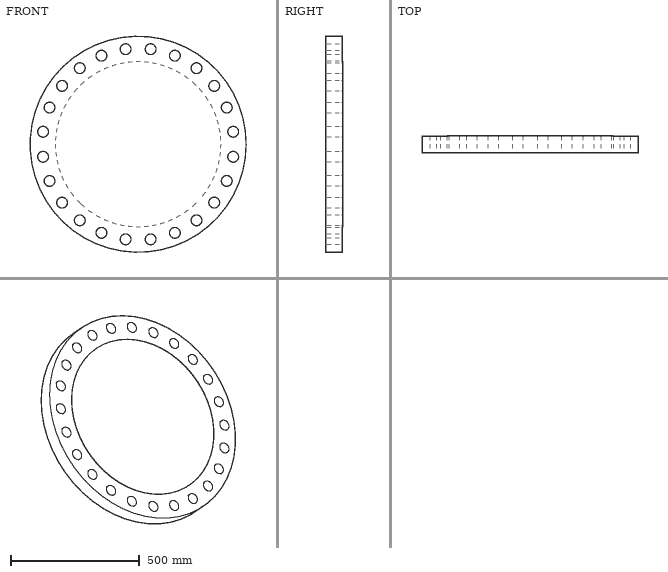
import cadquery as cq

flange_diameter = 838.0
total_thickness = 67.0
raised_face_diameter = 641.0
raised_face_height = 2.0
bolt_circle_diameter = 743.5
bolt_hole_diameter = 41.0
bolt_count = 24

plate_thickness = total_thickness - raised_face_height
bolt_pitch_angle = 360.0 / bolt_count


def disc(diameter, start_y, thickness):
    """Solid disc about the Y axis, growing from start_y toward +Y."""
    plane = cq.Workplane("XZ", origin=(0, start_y, 0))
    return plane.circle(diameter / 2).extrude(-thickness)


front_y = -total_thickness / 2
plate = disc(flange_diameter, front_y, plate_thickness)
raised_face = disc(raised_face_diameter, front_y + plate_thickness, raised_face_height)

bolt_holes = (
    cq.Workplane("XZ", origin=(0, front_y, 0))
    .polarArray(bolt_circle_diameter / 2, bolt_pitch_angle / 2, 360, bolt_count)
    .circle(bolt_hole_diameter / 2)
    .extrude(-total_thickness)
)

result = plate.union(raised_face).cut(bolt_holes)